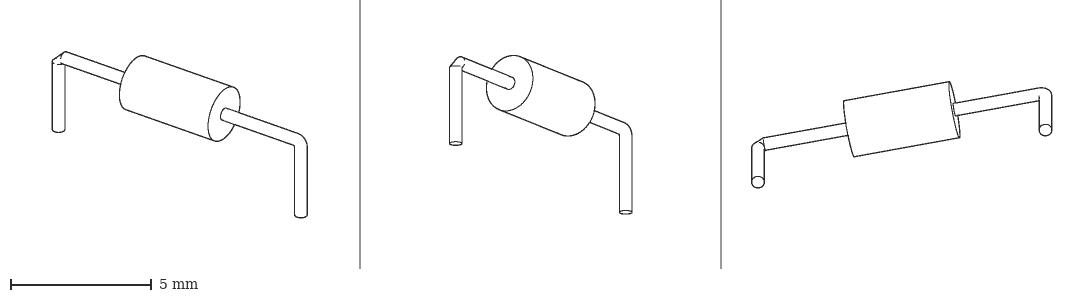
import cadquery as cq
import math

overall_length = 10.87
body_diameter = 2.03
body_length = 3.82
wire_diameter = 0.46
total_height = 4.07
bend_inner_radius = 0.005

wire_radius = wire_diameter / 2
body_end = body_length / 2
bend_start = overall_length / 2 - wire_diameter - bend_inner_radius
leg_center = overall_length / 2 - wire_radius
leg_top = -wire_radius - bend_inner_radius
leg_bottom = body_diameter / 2 - total_height


def make_body():
    return (
        cq.Workplane("YZ")
        .workplane(offset=-body_end)
        .circle(body_diameter / 2)
        .extrude(body_length)
    )


def make_straight_wires(side):
    """Horizontal wire and vertical leg; side is -1 for the left lead, 1 for the right."""
    horizontal = (
        cq.Workplane("YZ")
        .workplane(offset=side * body_end)
        .circle(wire_radius)
        .extrude(side * (bend_start - body_end))
    )
    leg = (
        cq.Workplane("XY")
        .workplane(offset=leg_bottom)
        .center(side * leg_center, 0)
        .circle(wire_radius)
        .extrude(leg_top - leg_bottom)
    )
    return horizontal, leg


def make_mitred_bend():
    """Oblique cylinder sloping at 45 degrees from the left wire end to the leg top."""
    bend_size = wire_diameter + bend_inner_radius
    wire_end_to_leg = bend_inner_radius + wire_radius
    slope_plane = cq.Plane(
        origin=(-bend_start - wire_end_to_leg / 2, 0, leg_top + wire_end_to_leg / 2),
        xDir=(0, 1, 0),
        normal=(1, 0, 1),
    )
    oblique = (
        cq.Workplane(slope_plane)
        .workplane(offset=-wire_diameter)
        .ellipse(wire_radius, wire_radius / math.sqrt(2))
        .extrude(2 * wire_diameter)
    )
    corner = cq.Workplane("XY").box(bend_size, wire_diameter, bend_size)
    corner_center = (-bend_start - bend_size / 2, 0, leg_top + bend_size / 2)
    return oblique.intersect(corner.translate(corner_center))


def make_round_bend():
    """Wire section swept a quarter turn about the inner corner of the right lead."""
    return (
        cq.Workplane("YZ")
        .workplane(offset=bend_start)
        .circle(wire_radius)
        .revolve(90, (0, leg_top, 0), (1, leg_top, 0))
    )


def make_lead(side, bend):
    horizontal, leg = make_straight_wires(side)
    return horizontal.union(bend).union(leg)


body = make_body()
left_lead = make_lead(-1, make_mitred_bend())
right_lead = make_lead(1, make_round_bend())

result = cq.Compound.makeCompound([body.val(), left_lead.val(), right_lead.val()])